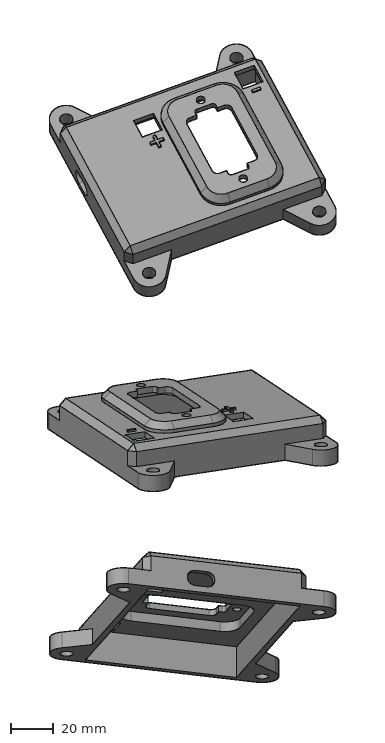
import cadquery as cq
import math

OVERALL_X = 112.4
BODY_X = 80.6
BODY_Y = 103.3
BODY_TOP = 18.5
WALL = 3.0
CHAMFER = 3.1

LUG_RADIUS = 8.0
LUG_HEIGHT = 8.0
LUG_HOLE_DIAMETER = 6.2
LUG_FOOT_Y = 28.7
LUG_CENTER_X = OVERALL_X / 2 - LUG_RADIUS
LUG_CENTER_Y = BODY_Y / 2 - LUG_RADIUS

BOSS_CENTER = (1.7, 14.3)
BOSS_X = 65.1
BOSS_Y = 41.4
BOSS_TOP = 23.4
BOSS_CORNER_RADIUS = 10.6

OPENING_X = 34.7
OPENING_Y = 23.0
OPENING_RADIUS = 2.7
EAR_SPAN_X = 41.0
EAR_Y = 10.6
EAR_RADIUS = 1.5
SCREW_SPACING = 49.3
SCREW_HOLE_DIAMETER = 4.2

WINDOW_SIZE = 10.2
MINUS_WINDOW_CENTER = (-29.0, 41.5)
PLUS_WINDOW_CENTER = (-22.8, -12.9)
MARK_HEIGHT = 0.9
MINUS_CENTER = (-20.5, 41.7)
MINUS_SIZE = (1.2, 4.3)
PLUS_CENTER = (-12.2, -12.9)
PLUS_SPAN = 6.9
PLUS_STROKE = 1.3

SLOT_CENTER_X = -12.5
SLOT_CENTER_Z = 6.9
SLOT_LENGTH = 13.5
SLOT_HEIGHT = 7.6


def block(size_x, size_y, bottom, top, center=(0, 0)):
    """Upright box centred on a point in plan."""
    return (
        cq.Workplane("XY")
        .box(size_x, size_y, top - bottom, centered=(True, True, False))
        .translate((center[0], center[1], bottom))
    )


def make_body():
    """Solid block with chamfered vertical corners and top rim."""
    body = block(BODY_X, BODY_Y, 0, BODY_TOP)
    return body.edges("|Z or >Z").chamfer(CHAMFER)


def make_lug():
    """Lug at the +X, +Y corner: a round end with a tangent flank that runs back to the body side."""
    foot_x = BODY_X / 2
    inner_x = foot_x - CHAMFER
    offset_x = foot_x - LUG_CENTER_X
    offset_y = LUG_FOOT_Y - LUG_CENTER_Y
    touch_angle = math.atan2(offset_y, offset_x) + math.acos(LUG_RADIUS / math.hypot(offset_x, offset_y))
    middle_angle = (touch_angle + math.pi / 2) / 2

    def on_round_end(angle):
        return (
            LUG_CENTER_X + LUG_RADIUS * math.cos(angle),
            LUG_CENTER_Y + LUG_RADIUS * math.sin(angle),
        )

    return (
        cq.Workplane("XY")
        .moveTo(inner_x, LUG_FOOT_Y)
        .lineTo(foot_x, LUG_FOOT_Y)
        .lineTo(*on_round_end(touch_angle))
        .threePointArc(on_round_end(middle_angle), on_round_end(math.pi / 2))
        .lineTo(inner_x, BODY_Y / 2)
        .close()
        .extrude(LUG_HEIGHT)
    )


def make_boss():
    """Rounded pad with a chamfered top rim."""
    boss = block(BOSS_X, BOSS_Y, BODY_TOP - WALL, BOSS_TOP, BOSS_CENTER)
    return boss.edges("|Z").fillet(BOSS_CORNER_RADIUS).faces(">Z").chamfer(CHAMFER)


def make_boss_recess():
    """Hollow under the boss that leaves its walls and roof one wall thick."""
    recess = block(BOSS_X - 2 * WALL, BOSS_Y - 2 * WALL, 0, BOSS_TOP - WALL, BOSS_CENTER)
    return recess.edges("|Z").fillet(BOSS_CORNER_RADIUS - WALL)


def make_connector_cut():
    """Rounded opening with a side ear at each end, plus the screw holes."""
    opening = block(OPENING_X, OPENING_Y, 0, BOSS_TOP, BOSS_CENTER).edges("|Z").fillet(OPENING_RADIUS)
    ears = block(EAR_SPAN_X, EAR_Y, 0, BOSS_TOP, BOSS_CENTER).edges("|Z").fillet(EAR_RADIUS)
    screws = (
        cq.Workplane("XY")
        .center(*BOSS_CENTER)
        .rarray(SCREW_SPACING, 1.1, 2, 1)
        .circle(SCREW_HOLE_DIAMETER / 2)
        .extrude(BOSS_TOP)
    )
    return opening.union(ears).union(screws)


def make_marks():
    """Raised minus and plus signs, rooted in the roof."""
    bottom = BODY_TOP - WALL / 2
    top = BODY_TOP + MARK_HEIGHT
    minus = block(*MINUS_SIZE, bottom, top, MINUS_CENTER)
    plus_bar = block(PLUS_SPAN, PLUS_STROKE, bottom, top, PLUS_CENTER)
    plus_post = block(PLUS_STROKE, PLUS_SPAN, bottom, top, PLUS_CENTER)
    return minus.union(plus_bar).union(plus_post)


def make_cable_slot():
    """Round-ended slot through the -Y wall only."""
    return (
        cq.Workplane("XZ", origin=(SLOT_CENTER_X, -BODY_Y / 2 + 2 * WALL, SLOT_CENTER_Z))
        .slot2D(SLOT_LENGTH, SLOT_HEIGHT)
        .extrude(2 * WALL)
    )


right_lugs = make_lug().union(make_lug().mirror("XZ"))
lugs = right_lugs.union(right_lugs.mirror("YZ"))
result = make_body().union(lugs).union(make_boss())

result = result.cut(block(BODY_X - 2 * WALL, BODY_Y - 2 * WALL, 0, BODY_TOP - WALL))
result = result.cut(make_boss_recess())

result = result.cut(make_connector_cut())
for window_center in (MINUS_WINDOW_CENTER, PLUS_WINDOW_CENTER):
    result = result.cut(block(WINDOW_SIZE, WINDOW_SIZE, 0, BODY_TOP, window_center))
result = result.cut(make_cable_slot())
lug_holes = (
    cq.Workplane("XY")
    .rarray(2 * LUG_CENTER_X, 2 * LUG_CENTER_Y, 2, 2)
    .circle(LUG_HOLE_DIAMETER / 2)
    .extrude(LUG_HEIGHT)
)
result = result.cut(lug_holes)

result = result.union(make_marks())